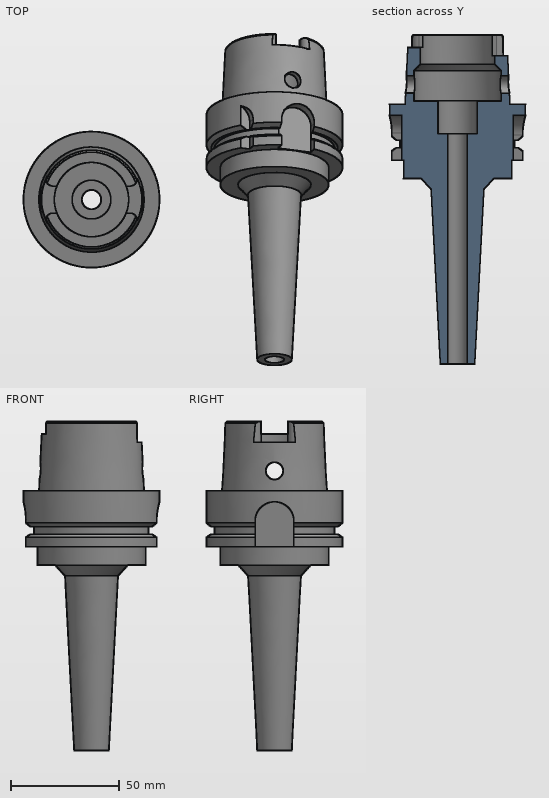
import cadquery as cq
import math

total_height = 152.0
flange_top = total_height - 31.9
flange_bottom = flange_top - 26.0
boss_bottom = flange_top - 34.4
neck_top = flange_top - 39.4

shank_top_radius = 22.8
shank_base_radius = 24.3
flange_radius = 31.5
boss_radius = 25.1
cone_radius = 16.9
neck_top_radius = 12.3
tip_radius = 8.0
shank_chamfer = 0.9

groove_upper_edge = flange_top - 14.9
groove_ceiling = flange_top - 16.7
groove_floor = flange_top - 20.0
groove_lower_edge = flange_top - 21.6
groove_rim_radius = 29.3
groove_radius = 27.8

lip_depth = 13.5
lip_radius = 17.2
recess_radius = 20.0
recess_shoulder = recess_radius - lip_radius
socket_depth = 30.4
stop_bore_radius = 9.0
stop_bore_depth = 45.6
through_radius = 4.4

cross_hole_radius = 4.0
cross_hole_depth = 22.8
drive_half_width = 6.2
drive_corner_radius = 3.3
drive_corner_start = 17.8
left_drive_depth = 5.8
right_drive_depth = 9.5
slot_top = flange_top - 5.2
left_slot_half_width = 8.0
right_slot_half_width = 9.0
slot_floor = 25.8
notch_offset = 19.9
notch_half_width = 8.0
notch_top = flange_top - 4.5


def make_body():
    """Turned outside shape."""
    outline = [
        (0, 0),
        (tip_radius, 0),
        (neck_top_radius, neck_top),
        (cone_radius, boss_bottom),
        (boss_radius, boss_bottom),
        (boss_radius, flange_bottom),
        (flange_radius, flange_bottom),
        (flange_radius, groove_lower_edge),
        (groove_rim_radius, groove_floor),
        (groove_radius, groove_floor),
        (groove_radius, groove_ceiling),
        (groove_rim_radius, groove_ceiling),
        (flange_radius, groove_upper_edge),
        (flange_radius, flange_top),
        (shank_base_radius, flange_top),
        (shank_top_radius, total_height),
        (0, total_height),
    ]
    return cq.Workplane("XZ").polyline(outline).close().revolve()


def make_bores():
    """Stepped bore with a clamping recess behind the lip."""
    lip_bottom = total_height - lip_depth
    socket_bottom = total_height - socket_depth
    stop_bottom = total_height - stop_bore_depth
    outline = [
        (0, 0),
        (through_radius, 0),
        (through_radius, stop_bottom),
        (stop_bore_radius, stop_bottom),
        (stop_bore_radius, socket_bottom),
        (recess_radius, socket_bottom),
        (recess_radius, lip_bottom - recess_shoulder),
        (lip_radius, lip_bottom),
        (lip_radius, total_height),
        (0, total_height),
    ]
    return cq.Workplane("XZ").polyline(outline).close().revolve()


def make_drive_notch(side, depth):
    """Notch in the shank end, flaring through round corners at the outside."""
    arc_end = drive_corner_start + drive_corner_radius
    flare = drive_half_width + drive_corner_radius
    mid = drive_corner_radius * math.sqrt(0.5)
    outer = flange_radius
    return (
        cq.Workplane("XY", origin=(0, 0, total_height - depth))
        .moveTo(0, -drive_half_width)
        .lineTo(side * drive_corner_start, -drive_half_width)
        .threePointArc(
            (side * (drive_corner_start + mid), -flare + mid), (side * arc_end, -flare)
        )
        .lineTo(side * outer, -flare)
        .lineTo(side * outer, flare)
        .lineTo(side * arc_end, flare)
        .threePointArc(
            (side * (drive_corner_start + mid), flare - mid), (side * drive_corner_start, drive_half_width)
        )
        .lineTo(0, drive_half_width)
        .close()
        .extrude(depth)
    )


def make_flange_slot(side, floor, half_width, top, center_y=0):
    """Round-topped slot with a flat floor, open at the bottom of the flange."""
    arc_center = top - half_width
    return (
        cq.Workplane("YZ", origin=(side * floor, center_y, 0))
        .moveTo(-half_width, flange_bottom)
        .lineTo(-half_width, arc_center)
        .threePointArc((0, top), (half_width, arc_center))
        .lineTo(half_width, flange_bottom)
        .close()
        .extrude(side * (flange_radius - floor))
    )


body = make_body().faces(">Z").edges().chamfer(shank_chamfer)
cross_hole = (
    cq.Workplane("YZ", origin=(0, 0, total_height - cross_hole_depth))
    .circle(cross_hole_radius)
    .extrude(flange_radius, both=True)
)
result = (
    body.cut(make_bores())
    .cut(cross_hole)
    .cut(make_drive_notch(-1, left_drive_depth))
    .cut(make_drive_notch(1, right_drive_depth))
    .cut(make_flange_slot(-1, slot_floor, left_slot_half_width, slot_top))
    .cut(make_flange_slot(1, slot_floor, right_slot_half_width, slot_top))
    .cut(make_flange_slot(-1, notch_offset, notch_half_width, notch_top, notch_offset + notch_half_width))
)